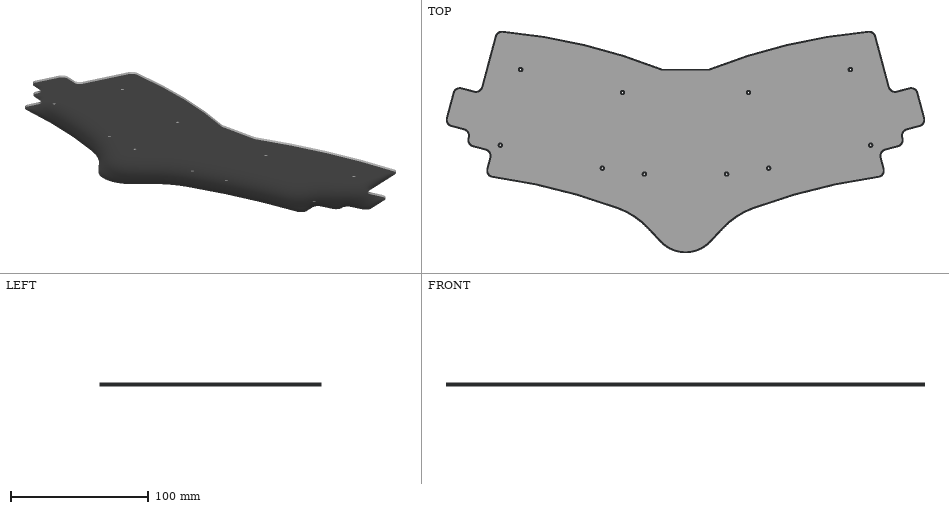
import cadquery as cq
import math

KEY_PITCH = 19.05
THICKNESS = 1.6
TILT = math.radians(15)

TAB_END = -172.69
SIDE_EDGE = TAB_END + KEY_PITCH
LOWER_SIDE_EDGE = SIDE_EDGE + KEY_PITCH
TAB_TOP = -4.45
TAB_HEIGHT = 1.5 * KEY_PITCH
TAB_BOTTOM = TAB_TOP - TAB_HEIGHT
STEP_HEIGHT = 10.2
STEP_BOTTOM = TAB_BOTTOM - STEP_HEIGHT
CORNER_RADIUS = KEY_PITCH / 4
WING_END_LIMIT = -100.0

NECK_HALF_WIDTH = 17.0
NECK_Y = 52.7
TOP_RADIUS = 414.0
TOP_START_SLOPE = math.radians(21.7)

TAIL_Y = -80.62
TAIL_RADIUS = 24.7
FLANK_SLOPE = math.radians(46.9)
FLANK_LENGTH = 13.3
HIP_RADIUS = 57.4
HIP_END_SLOPE = math.radians(20.3)
BOTTOM_RADIUS = 432.5

HOLE_DIAMETER = 2.4
OUTER_COLUMN = LOWER_SIDE_EDGE + CORNER_RADIUS
INNER_COLUMN = OUTER_COLUMN + 4 * KEY_PITCH
HOLE_ROWS = 2
ROW_SPACING = 3 * KEY_PITCH
OUTER_LOWER_ROW = -37.3
COLUMN_STAGGER = 3.05
CENTER_HOLE = (-30.0, -23.5)


def wing_to_plate(across, along):
    """Turn a left wing position into plate X, Y."""
    x = across * math.cos(TILT) + along * math.sin(TILT)
    y = -across * math.sin(TILT) + along * math.cos(TILT)
    return (x, y)


def plate_to_wing(x, y):
    """Turn a plate position into left wing across, along."""
    across = x * math.cos(TILT) - y * math.sin(TILT)
    along = x * math.sin(TILT) + y * math.cos(TILT)
    return (across, along)


def below(start, radius, slope):
    """Point one radius down and left of the start, square to a line that rises leftwards at the slope."""
    return (start[0] - radius * math.sin(slope), start[1] - radius * math.cos(slope))


def above(start, radius, slope):
    """Point one radius up and right of the start, square to a line that rises leftwards at the slope."""
    return (start[0] + radius * math.sin(slope), start[1] + radius * math.cos(slope))


def corner_on_arc(center, radius, edge):
    """Plate point where a straight wing edge meets the upper half of a circle."""
    across, along = plate_to_wing(*center)
    return wing_to_plate(edge, along + math.sqrt(radius**2 - (edge - across) ** 2))


def half_outline():
    """Left half of the plate with sharp wing corners."""
    tail_center = (0, TAIL_Y + TAIL_RADIUS)
    tail_end = below(tail_center, TAIL_RADIUS, FLANK_SLOPE)
    flank_end = (
        tail_end[0] - FLANK_LENGTH * math.cos(FLANK_SLOPE),
        tail_end[1] + FLANK_LENGTH * math.sin(FLANK_SLOPE),
    )
    hip_center = below(flank_end, HIP_RADIUS, FLANK_SLOPE)
    hip_end = above(hip_center, HIP_RADIUS, HIP_END_SLOPE)
    bottom_center = below(hip_end, BOTTOM_RADIUS, HIP_END_SLOPE)
    bottom_corner = corner_on_arc(bottom_center, BOTTOM_RADIUS, LOWER_SIDE_EDGE)

    neck_corner = (-NECK_HALF_WIDTH, NECK_Y)
    top_center = below(neck_corner, TOP_RADIUS, TOP_START_SLOPE)
    top_corner = corner_on_arc(top_center, TOP_RADIUS, SIDE_EDGE)

    tail_middle = below(tail_center, TAIL_RADIUS, FLANK_SLOPE / 2)
    hip_middle = above(hip_center, HIP_RADIUS, (FLANK_SLOPE + HIP_END_SLOPE) / 2)
    bottom_middle = corner_on_arc(
        bottom_center, BOTTOM_RADIUS, (plate_to_wing(*hip_end)[0] + LOWER_SIDE_EDGE) / 2
    )
    top_middle = corner_on_arc(
        top_center, TOP_RADIUS, (plate_to_wing(*neck_corner)[0] + SIDE_EDGE) / 2
    )

    return (
        cq.Workplane("XY")
        .moveTo(0, TAIL_Y)
        .threePointArc(tail_middle, tail_end)
        .lineTo(*flank_end)
        .threePointArc(hip_middle, hip_end)
        .threePointArc(bottom_middle, bottom_corner)
        .lineTo(*wing_to_plate(LOWER_SIDE_EDGE, STEP_BOTTOM))
        .lineTo(*wing_to_plate(SIDE_EDGE, STEP_BOTTOM))
        .lineTo(*wing_to_plate(SIDE_EDGE, TAB_BOTTOM))
        .lineTo(*wing_to_plate(TAB_END, TAB_BOTTOM))
        .lineTo(*wing_to_plate(TAB_END, TAB_TOP))
        .lineTo(*wing_to_plate(SIDE_EDGE, TAB_TOP))
        .lineTo(*top_corner)
        .threePointArc(top_middle, neck_corner)
        .lineTo(0, NECK_Y)
        .close()
    )


def hole_centers():
    """Screw hole positions of the left wing."""
    centers = [CENTER_HOLE]
    for row in range(HOLE_ROWS):
        along = OUTER_LOWER_ROW + row * ROW_SPACING
        centers.append(wing_to_plate(OUTER_COLUMN, along))
        centers.append(wing_to_plate(INNER_COLUMN, along + COLUMN_STAGGER))
    return centers


def half_plate():
    """Left half of the plate, with rounded wing end and screw holes."""
    plate = half_outline().extrude(THICKNESS)
    wing_end = cq.selectors.BoxSelector(
        (2 * TAB_END, 2 * TAB_END, -THICKNESS), (WING_END_LIMIT, -2 * TAB_END, 2 * THICKNESS)
    )
    plate = plate.edges("|Z").edges(wing_end).fillet(CORNER_RADIUS)
    holes = (
        cq.Workplane("XY")
        .pushPoints(hole_centers())
        .circle(HOLE_DIAMETER / 2)
        .extrude(THICKNESS)
    )
    return plate.cut(holes)


left_half = half_plate()
result = left_half.union(left_half.mirror("YZ")).clean()